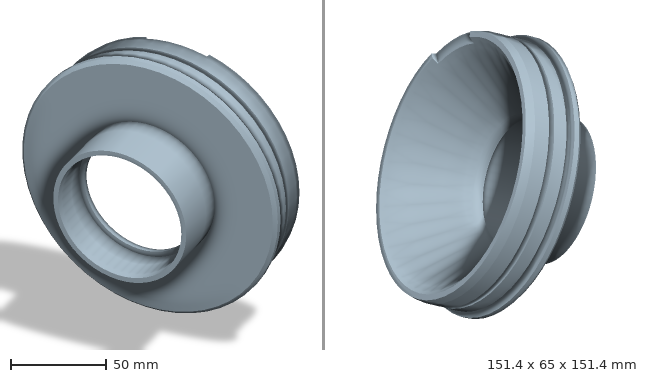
import cadquery as cq
import math

total_length = 65.0
flange_radius = 75.7
flange_thickness = 5.0
flange_chamfer = 2.0
body_length = 33.0
body_radius = 73.1
back_radius = 72.1
back_taper_length = 5.0

groove_width = 3.3
groove_depth = 2.9
groove_radius = groove_width / 2
rear_groove_y = -15.5
front_groove_y = flange_thickness + groove_radius - body_length

spigot_radius = 39.4
socket_radius = 36.5
throat_radius = 33.5
socket_depth = 23.5
throat_land = 1.0

throat_round = 6.0
flare_angle = 43.0

notch_depth = 3.0
notch_half_angle = 15.0


def make_body():
    """Revolve the solid outside shape about the Y axis."""
    flange_back_y = flange_thickness - body_length
    profile = (
        cq.Workplane("XY")
        .moveTo(0, 0)
        .lineTo(back_radius, 0)
        .lineTo(body_radius, -back_taper_length)
        .lineTo(body_radius, flange_back_y)
        .lineTo(flange_radius, flange_back_y)
        .lineTo(flange_radius, flange_chamfer - body_length)
        .lineTo(flange_radius - flange_chamfer, -body_length)
        .lineTo(spigot_radius, -body_length)
        .lineTo(spigot_radius, -total_length)
        .lineTo(0, -total_length)
        .close()
    )
    return profile.revolve(360, (0, 0, 0), (0, 1, 0))


def make_groove(center_y):
    """Ring with a half-round bottom that cuts one seal groove."""
    arc_end = body_radius - groove_depth + groove_radius
    profile = (
        cq.Workplane("XY")
        .moveTo(body_radius, center_y - groove_radius)
        .lineTo(arc_end, center_y - groove_radius)
        .threePointArc(
            (arc_end - groove_radius, center_y),
            (arc_end, center_y + groove_radius),
        )
        .lineTo(body_radius, center_y + groove_radius)
        .close()
    )
    return profile.revolve(360, (0, 0, 0), (0, 1, 0))


def make_bore():
    """Socket, throat and flared mouth as one cutting solid."""
    socket_end_y = socket_depth - total_length
    round_start_y = socket_end_y + throat_land
    angle = math.radians(flare_angle)

    def round_point(turn):
        return (
            throat_radius + throat_round * (1 - math.cos(turn)),
            round_start_y + throat_round * math.sin(turn),
        )

    cone_start = round_point(angle)
    mouth_radius = cone_start[0] - cone_start[1] * math.tan(angle)
    profile = (
        cq.Workplane("XY")
        .moveTo(0, -total_length)
        .lineTo(socket_radius, -total_length)
        .lineTo(socket_radius, socket_end_y)
        .lineTo(throat_radius, socket_end_y)
        .lineTo(throat_radius, round_start_y)
        .threePointArc(round_point(angle / 2), cone_start)
        .lineTo(mouth_radius, 0)
        .lineTo(0, 0)
        .close()
    )
    return profile.revolve(360, (0, 0, 0), (0, 1, 0))


def make_notch():
    """Wedge from the axis toward +Z that cuts through the back rim."""
    half_width = flange_radius * math.tan(math.radians(notch_half_angle))
    return (
        cq.Workplane("XZ")
        .polyline([(0, 0), (half_width, flange_radius), (-half_width, flange_radius)])
        .close()
        .extrude(notch_depth)
    )


result = make_body()
for groove_y in (rear_groove_y, front_groove_y):
    result = result.cut(make_groove(groove_y))
result = result.cut(make_bore()).cut(make_notch())